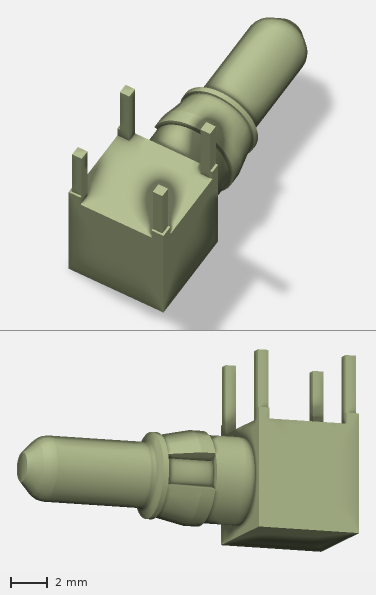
import cadquery as cq
import math

block_width = 6.0
block_depth = 5.8
block_height = 6.0
overall_length = 18.4

foot_height = 0.6
foot_width = 0.75
pin_size = 0.6
pin_top = 9.8
front_pin_inset = 0.13
side_pin_inset = foot_width - pin_size

axis_height = block_width / 2
contact_radius = 3.6 / 2
shank_radius = 4.8 / 2
flange_radius = 4.75 / 2
shank_end = 8.0
flange_start = 10.76
flange_rim_end = 11.08
flange_cone_end = 11.28
flange_end = 11.57
flange_neck_radius = 1.93

nose_round = 1.0
nose_start = 17.0
nose_angle = math.radians(45)

clip_start = 8.1
clip_cone_start = 8.89
clip_radius = 5.2 / 2
clip_small_radius = 2.2
clip_gap_angle = 45.0


def spin(profile):
    """Revolve a (radius, Y) profile about the contact axis."""
    solid = profile.close().revolve(360, (0, 0, 0), (0, 1, 0))
    return solid.translate((0, 0, axis_height))


def make_block():
    """Block with a foot and a pin at each top corner."""
    block = cq.Workplane("XY").box(block_width, block_depth, block_height, centered=(True, False, False))
    pin_x = block_width / 2 - side_pin_inset - pin_size / 2
    foot_x = (block_width - foot_width) / 2
    front_foot_depth = front_pin_inset + pin_size
    corners = (
        (front_pin_inset, 0, front_foot_depth),
        (block_depth - pin_size, block_depth - pin_size, pin_size),
    )
    for side in (-1, 1):
        for pin_y, foot_y, foot_depth in corners:
            foot = cq.Workplane("XY").box(foot_width, foot_depth, foot_height, centered=(True, False, False))
            pin = cq.Workplane("XY").box(
                pin_size, pin_size, pin_top - block_height, centered=(True, False, False)
            )
            block = block.union(foot.translate((side * foot_x, foot_y, block_height)))
            block = block.union(pin.translate((side * pin_x, pin_y, block_height)))
    return block


def make_contact():
    """Shank, flange and nosed contact pin in one turned profile."""
    half_angle = nose_angle / 2
    round_centre = contact_radius - nose_round
    round_middle = (
        round_centre + nose_round * math.cos(half_angle),
        nose_start + nose_round * math.sin(half_angle),
    )
    cone_radius = round_centre + nose_round * math.cos(nose_angle)
    cone_start = nose_start + nose_round * math.sin(nose_angle)
    tip_radius = cone_radius - (overall_length - cone_start) / math.tan(nose_angle)
    profile = (
        cq.Workplane("XY")
        .moveTo(0, block_depth)
        .lineTo(shank_radius, block_depth)
        .lineTo(shank_radius, shank_end)
        .lineTo(contact_radius, shank_end)
        .lineTo(contact_radius, flange_start)
        .lineTo(flange_radius, flange_start)
        .lineTo(flange_radius, flange_rim_end)
        .lineTo(flange_neck_radius, flange_cone_end)
        .tangentArcPoint((contact_radius, flange_end), relative=False)
        .lineTo(contact_radius, nose_start)
        .threePointArc(round_middle, (cone_radius, cone_start))
        .lineTo(tip_radius, overall_length)
        .lineTo(0, overall_length)
    )
    return spin(profile)


def make_clip():
    """Tapered ring behind the flange, split by a radial gap on the -X side."""
    ring = spin(
        cq.Workplane("XY")
        .moveTo(0, clip_start)
        .lineTo(clip_radius, clip_start)
        .lineTo(clip_radius, clip_cone_start)
        .lineTo(clip_small_radius, flange_start)
        .lineTo(0, flange_start)
    )
    gap_reach = 2 * clip_radius
    gap_half_width = gap_reach * math.tan(math.radians(clip_gap_angle / 2))
    gap = (
        cq.Workplane("XZ", origin=(0, clip_start, axis_height))
        .polyline([(0, 0), (-gap_reach, gap_half_width), (-gap_reach, -gap_half_width)])
        .close()
        .extrude(clip_start - flange_start)
    )
    return ring.cut(gap)


result = make_block().union(make_contact()).union(make_clip())